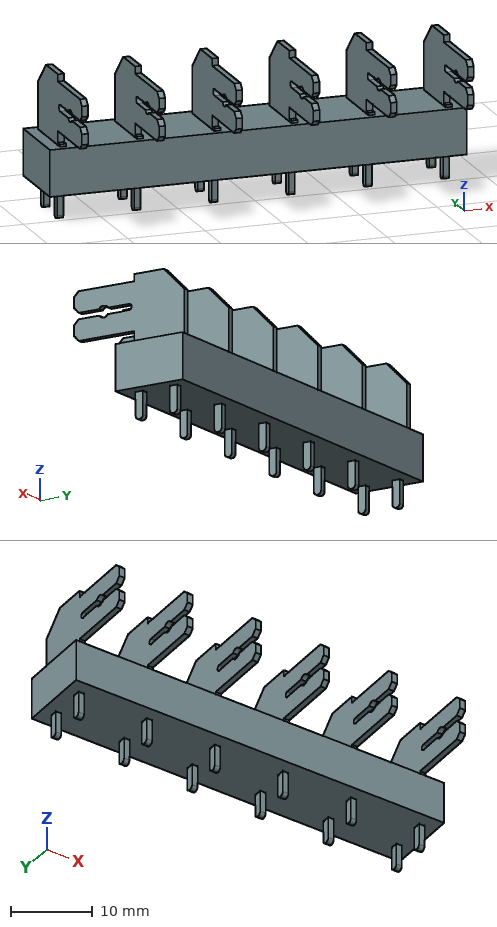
import cadquery as cq

housing_length = 54.0
housing_depth = 9.8
housing_height = 6.0
housing_back = housing_depth / 2

overall_depth = 16.85

blade_count = 6
blade_pitch = 10.0
blade_thickness = 0.8
blade_positions = [(i - (blade_count - 1) / 2) * blade_pitch for i in range(blade_count)]

plate_inset = 0.8
plate_width = 7.3
plate_height = 9.0
plate_chamfer = 2.95
plate_back = housing_back - plate_inset
plate_front = plate_back - plate_width
plate_top = housing_height + plate_height

toe_length = 0.8
toe_height = 0.3
toe_top = housing_height + toe_height
toe_tip = plate_front - toe_length

tab_drop = 0.9
tab_height = 6.3
tab_tip = housing_back - overall_depth
tab_middle = plate_top - tab_drop - tab_height / 2
slot_width = 0.8
slot_length = 8.35
slot_end_y = tab_tip + slot_length - slot_width / 2
prong_height = (tab_height - slot_width) / 2
prong_chamfer = 0.7
hole_diameter = 1.5
hole_from_tip = 4.3

pin_width = 1.1
pin_drop = 3.5
pin_tip_radius = 0.5
back_pin_inset = 2.4
pin_spacing = 4.95
back_pin_y = housing_back - back_pin_inset
pin_centres = [back_pin_y, back_pin_y - pin_spacing]


def block(y_min, y_max, z_min, z_max):
    """Flat block of blade thickness, centred on X = 0."""
    solid = cq.Workplane("XY").box(blade_thickness, y_max - y_min, z_max - z_min)
    return solid.translate((0, (y_min + y_max) / 2, (z_min + z_max) / 2))


def make_plate():
    """Plate with a chamfered upper back corner and a square toe at its lower front corner."""
    outline = [
        (plate_back, housing_height),
        (plate_back, plate_top - plate_chamfer),
        (plate_back - plate_chamfer, plate_top),
        (plate_front, plate_top),
        (plate_front, toe_top),
        (toe_tip, toe_top),
        (toe_tip, housing_height),
    ]
    return cq.Workplane("YZ").polyline(outline).close().extrude(blade_thickness / 2, both=True)


def make_prong(middle_z):
    """Straight prong with both corners of its tip chamfered."""
    prong = block(tab_tip, plate_front, middle_z - prong_height / 2, middle_z + prong_height / 2)
    return prong.faces("<Y").edges("|X").chamfer(prong_chamfer)


def make_tab():
    """Two prongs joined by a web that closes the inner end of the slot."""
    prong_offset = (slot_width + prong_height) / 2
    web = block(slot_end_y, plate_front, tab_middle - slot_width / 2, tab_middle + slot_width / 2)
    upper_prong = make_prong(tab_middle + prong_offset)
    lower_prong = make_prong(tab_middle - prong_offset)
    return upper_prong.union(lower_prong).union(web)


def blade_hole(y, diameter):
    """Cylinder along X on the slot centre line, as long as the blade is thick."""
    profile = cq.Workplane("YZ").center(y, tab_middle).circle(diameter / 2)
    return profile.extrude(blade_thickness / 2, both=True)


def make_pin(y):
    """Solder pin with a rounded lower end."""
    pin = block(y - pin_width / 2, y + pin_width / 2, -pin_drop, housing_height)
    return pin.faces("<Z").edges("|X").fillet(pin_tip_radius)


def make_blade(x):
    """One terminal: plate, split tab and two solder pins in a single flat piece."""
    blade = make_plate().union(make_tab())
    blade = blade.cut(blade_hole(slot_end_y, slot_width))
    blade = blade.cut(blade_hole(tab_tip + hole_from_tip, hole_diameter))
    for y in pin_centres:
        blade = blade.union(make_pin(y))
    return blade.translate((x, 0, 0))


def make_housing():
    """Bar with a close-fitting passage for every solder pin."""
    housing = cq.Workplane("XY").box(
        housing_length, housing_depth, housing_height, centered=(True, True, False)
    )
    for x in blade_positions:
        for y in pin_centres:
            passage = block(y - pin_width / 2, y + pin_width / 2, 0, housing_height)
            housing = housing.cut(passage.translate((x, 0, 0)))
    return housing


housing = make_housing()
blades = [make_blade(x) for x in blade_positions]

result = cq.Compound.makeCompound([housing.val(), *[blade.val() for blade in blades]])